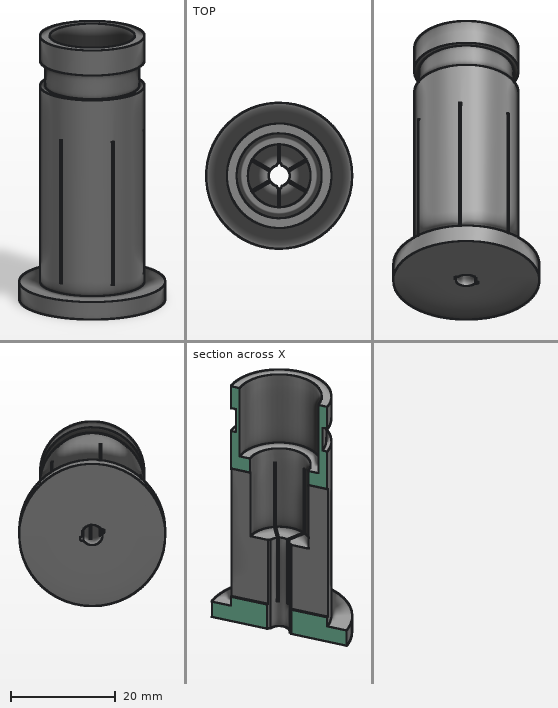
import cadquery as cq

total_height = 52.5
flange_diameter = 28.0
flange_height = 3.5

body_diameter = 20.0
neck_diameter = 18.0
head_height = 5.0
groove_height = 5.0

slot_count = 6
slot_width = 0.4
slot_bottom = 5.5
slot_top = 34.0

mouth_diameter = 16.3
socket_diameter = 12.0
pilot_diameter = 4.0
mouth_floor = 37.3
socket_floor = (slot_bottom + slot_top) / 2

relief_diameter = 0.85
relief_offset = 2.05


def cylinder(diameter, bottom, top):
    """Vertical cylinder on the part axis between two levels."""
    return cq.Workplane("XY").workplane(offset=bottom).circle(diameter / 2).extrude(top - bottom)


def outer_body():
    """Flanged sleeve with a grooved neck below the head."""
    head_bottom = total_height - head_height
    groove_bottom = head_bottom - groove_height
    flange = cylinder(flange_diameter, 0, flange_height)
    sleeve = cylinder(body_diameter, flange_height, groove_bottom)
    neck = cylinder(neck_diameter, groove_bottom, head_bottom)
    head = cylinder(body_diameter, head_bottom, total_height)
    return flange.union(sleeve).union(neck).union(head)


def stepped_bore():
    """Axial hole that leaves a ring of jaws around the pilot hole."""
    mouth = cylinder(mouth_diameter, mouth_floor, total_height)
    socket = cylinder(socket_diameter, socket_floor, mouth_floor)
    pilot = cylinder(pilot_diameter, 0, socket_floor)
    return mouth.union(socket).union(pilot)


def relief_grooves():
    """Pair of small holes that break into the pilot hole."""
    return (
        cq.Workplane("XY")
        .pushPoints([(0, relief_offset), (0, -relief_offset)])
        .circle(relief_diameter / 2)
        .extrude(socket_floor)
    )


def slots():
    """Blades across the full diameter; each makes two opposite slots, one pair along Y."""
    blade = (
        cq.Workplane("XY")
        .workplane(offset=slot_bottom)
        .rect(slot_width, flange_diameter)
        .extrude(slot_top - slot_bottom)
    )
    cutter = blade
    for index in range(1, slot_count // 2):
        turn = index * 360 / slot_count
        cutter = cutter.union(blade.rotate((0, 0, 0), (0, 0, 1), turn))
    return cutter


result = outer_body().cut(stepped_bore()).cut(relief_grooves()).cut(slots())